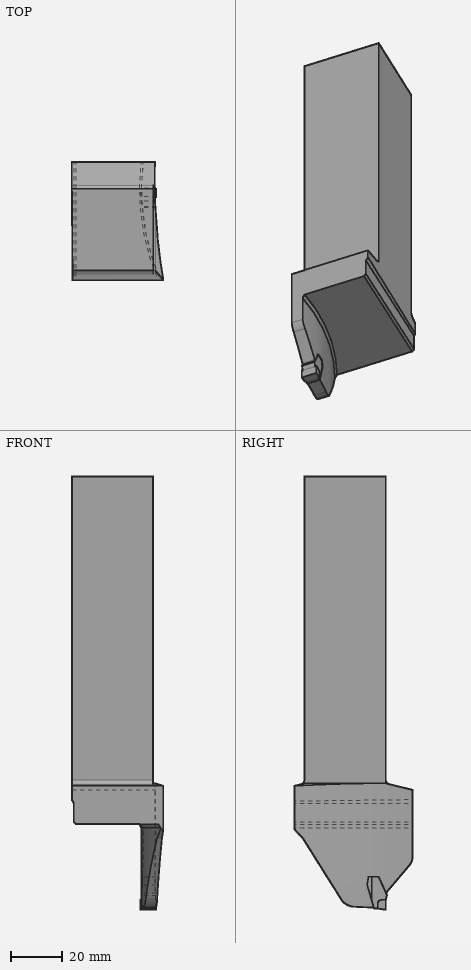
import cadquery as cq

HEIGHT = 170.0
DEPTH = 46.4
WIDTH = 36.0

SHANK_SIDE = 32.0
SHANK_FRONT = 3.9
SHANK_BACK = SHANK_FRONT + SHANK_SIDE

HEAD_BOTTOM = 33.7
SHOULDER_Z = 49.6
SHOULDER_DROP = 1.0
SIDE_SHOULDER_X = 32.8
BACK_SHOULDER_Z = 47.1
SHANK_FILLET = 1.7
LEFT_TAPER = 0.3

SHOULDER_LINE = [
    (0, SHOULDER_Z - SHOULDER_DROP),
    (SHANK_FRONT, SHOULDER_Z),
    (SHANK_BACK, SHOULDER_Z),
    (DEPTH, BACK_SHOULDER_Z),
]

RELIEF_TOP = 43.4
RELIEF_HEIGHT = 1.5
RELIEF_FLOOR_X = 0.8
LOWER_BEVEL = 0.8

OUTER_RADIUS = 226.1
OUTER_MIN_X = 32.6
OUTER_CENTER_Y = 39.1
INNER_RADIUS = 88.4
INNER_MIN_X = 27.4
INNER_CENTER_Y = 35.7
ROOT_HEIGHT = 1.5
ROOT_WIDTH = 0.8

INSERT_LEFT = 27.4
INSERT_RIGHT = 32.8
INSERT_BOTTOM = 0.5
TIP_LEFT = 26.9
TIP_RIGHT = 33.2
TIP_FRONT = 32.6
TIP_BACK = 35.9
TIP_TOP = 3.9
TIP_FILLET = 1.5

MARGIN = 1.7


def prism_x(points, left, right):
    """Extrude a (Y, Z) polygon from X = left to X = right."""
    return cq.Workplane("YZ", origin=(left, 0, 0)).polyline(points).close().extrude(right - left)


def prism_y(points):
    """Extrude an (X, Z) polygon past both ends of the tool's depth."""
    length = DEPTH + 2 * MARGIN
    return cq.Workplane("XZ", origin=(0, DEPTH + MARGIN, 0)).polyline(points).close().extrude(length)


def upright_cylinder(min_x, center_y, radius):
    """Full-height cylinder whose lowest X is min_x."""
    return cq.Workplane("XY").center(min_x + radius, center_y).circle(radius).extrude(HEIGHT)


def make_shank():
    """Shank with the strip of head below it, rounded where shank and shoulders meet."""
    front_shoulder, back_shoulder = SHOULDER_LINE[:2], SHOULDER_LINE[2:]
    shank_top = [(SHANK_FRONT, HEIGHT), (SHANK_BACK, HEIGHT)]
    head_bottom = [(DEPTH, HEAD_BOTTOM), (0, HEAD_BOTTOM)]
    outline = front_shoulder + shank_top + back_shoulder + head_bottom
    shank = prism_x(outline, 0, SHANK_SIDE)
    for y in (SHANK_FRONT, SHANK_BACK):
        corner = cq.selectors.NearestToPointSelector((SHANK_SIDE / 2, y, SHOULDER_Z))
        shank = shank.edges("|X").edges(corner).fillet(SHANK_FILLET)
    return shank


def make_head(outer_cylinder):
    outline = [(0, HEAD_BOTTOM)] + SHOULDER_LINE + [(DEPTH, HEAD_BOTTOM)]
    head = prism_x(outline, 0, WIDTH)
    side_slope = prism_y(
        [
            (SIDE_SHOULDER_X, SHOULDER_Z),
            (WIDTH, SHOULDER_Z - SHOULDER_DROP),
            (WIDTH, SHOULDER_Z),
        ]
    )
    return head.cut(side_slope).cut(outer_cylinder)


def make_relief():
    return prism_y(
        [
            (-MARGIN, RELIEF_TOP),
            (0, RELIEF_TOP),
            (RELIEF_FLOOR_X, RELIEF_TOP - RELIEF_HEIGHT),
            (RELIEF_FLOOR_X, HEAD_BOTTOM + LOWER_BEVEL),
            (RELIEF_FLOOR_X + LOWER_BEVEL, HEAD_BOTTOM),
            (-MARGIN, HEAD_BOTTOM),
        ]
    )


def make_taper_cut():
    outline = [(0, DEPTH), (LEFT_TAPER, 0), (0, 0)]
    return cq.Workplane("XY").polyline(outline).close().extrude(HEIGHT)


def make_blade(outer_cylinder):
    inner_cylinder = upright_cylinder(INNER_MIN_X, INNER_CENTER_Y, INNER_RADIUS)
    profile = (
        cq.Workplane("YZ")
        .moveTo(0, HEAD_BOTTOM)
        .lineTo(0, 31.6)
        .lineTo(3.2, 28.2)
        .lineTo(18.2, 4.5)
        .threePointArc((20.5, 2.0), (23.8, 1.2))
        .lineTo(31.3, 0.8)
        .lineTo(TIP_FRONT, TIP_TOP)
        .lineTo(36.4, 7.1)
        .lineTo(44.7, 17.0)
        .threePointArc((45.9, 18.7), (DEPTH, 20.5))
        .lineTo(DEPTH, HEAD_BOTTOM)
        .close()
        .extrude(WIDTH)
    )
    root = (
        cq.Workplane("XY", origin=(INNER_MIN_X + INNER_RADIUS, INNER_CENTER_Y, HEAD_BOTTOM - ROOT_HEIGHT))
        .circle(INNER_RADIUS)
        .workplane(offset=ROOT_HEIGHT)
        .circle(INNER_RADIUS + ROOT_WIDTH)
        .loft(ruled=True)
    )
    return profile.intersect(inner_cylinder.union(root)).cut(outer_cylinder)


def make_insert():
    clamped_part = prism_x(
        [
            (31.3, INSERT_BOTTOM),
            (28.5, 9.9),
            (29.0, 13.1),
            (33.0, 13.1),
            (36.4, 5.8),
            (TIP_BACK, TIP_TOP),
            (TIP_BACK, INSERT_BOTTOM),
        ],
        INSERT_LEFT,
        INSERT_RIGHT,
    )
    tip = (
        prism_x(
            [
                (TIP_BACK, 0),
                (TIP_BACK, TIP_TOP),
                (TIP_FRONT, TIP_TOP),
                (TIP_FRONT, INSERT_BOTTOM),
            ],
            TIP_LEFT,
            TIP_RIGHT,
        )
        .edges("|X and <Y and >Z")
        .fillet(TIP_FILLET)
    )
    return clamped_part.union(tip)


def make_holder(insert):
    outer_cylinder = upright_cylinder(OUTER_MIN_X, OUTER_CENTER_Y, OUTER_RADIUS)
    body = make_shank().union(make_head(outer_cylinder))
    body = body.cut(make_taper_cut()).cut(make_relief())
    return body.union(make_blade(outer_cylinder)).cut(insert)


insert = make_insert()
holder = make_holder(insert)
result = cq.Compound.makeCompound([holder.val(), insert.val()])